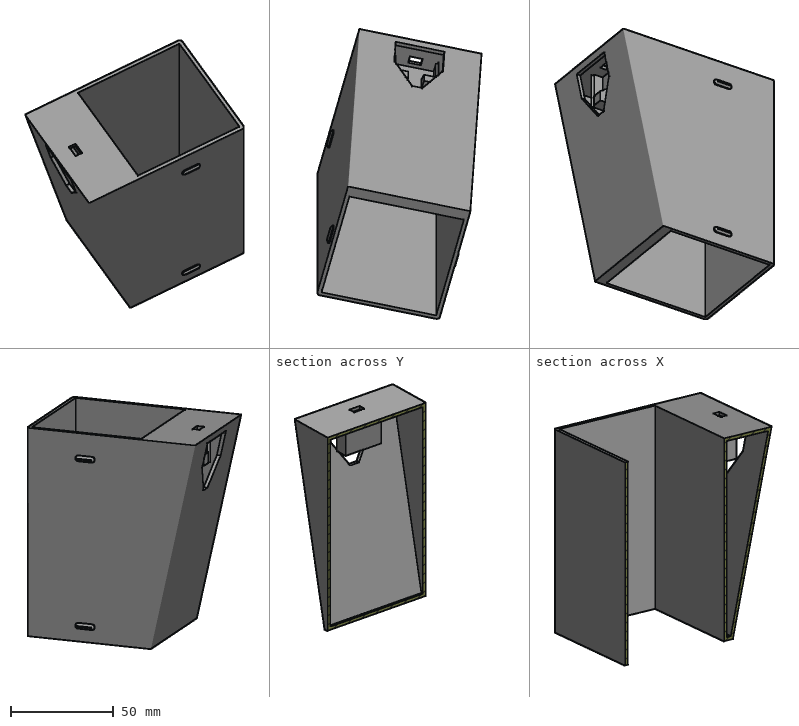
import cadquery as cq
import math

height = 105.0
overall_width = 64.2
top_depth = 88.0
bottom_depth = 64.8
nub_height = 1.5
width = overall_width - 2 * nub_height
wall = 2.0
back_corner_radius = 1.6
front_edge_radius = 0.4

nub_length = 10.0
nub_width = 2.9
nub_bevel_height = 0.9
nub_bevel_inset = 1.3
nub_positions = (8.1, 92.4)

mouth_half_width = 12.2
mouth_top = height - 3.7
shoulder_z = 88.6
tip_half_width = 2.6
tip_z = 74.5

housing_half_width = 11.1
housing_bottom = 84.9
housing_front = 8.6
cheek_thickness = 1.2
cheek_edge_radius = 1.0
housing_inner_back = 14.4

block_front = 9.1
block_gap = 7.9
ramp_low_z = 90.3
ramp_high_z = 93.9

slot_width = 6.3
slot_length = 3.7

back_y = top_depth
bottom_front_y = top_depth - bottom_depth
bore_width = width - 2 * wall
bore_centre_y = back_y - width / 2
bore_front_y = bore_centre_y - bore_width / 2
ceiling_z = height - wall


def extrude_along_x(points, x_start, x_end):
    """Extrude a closed (y, z) outline between two x positions."""
    return cq.Workplane("YZ", origin=(x_start, 0, 0)).polyline(points).close().extrude(x_end - x_start)


def make_body():
    outline = [(0, height), (back_y, height), (back_y, 0), (bottom_front_y, 0)]
    body = extrude_along_x(outline, -width / 2, width / 2)
    body = body.edges("|Z").edges(">Y").fillet(back_corner_radius)
    body = body.faces("<Y").edges("not |X").fillet(front_edge_radius)
    bore = cq.Workplane("XY").center(0, bore_centre_y).rect(bore_width, bore_width).extrude(height)
    return body.cut(bore)


def front_y(z):
    """Y position of the sloping front face at height z."""
    return bottom_front_y * (height - z) / height


def make_wedge_cavity():
    """Closed space between the sloping front wall and the front wall of the bore."""
    cavity_back = bore_front_y - wall
    outline = [
        (front_y(ceiling_z) + wall, ceiling_z),
        (cavity_back, ceiling_z),
        (cavity_back, wall),
        (front_y(wall) + wall, wall),
    ]
    return extrude_along_x(outline, -bore_width / 2, bore_width / 2)


def make_mouth():
    right = [(mouth_half_width, mouth_top), (mouth_half_width, shoulder_z), (tip_half_width, tip_z)]
    left = [(-x, z) for x, z in reversed(right)]
    return cq.Workplane("XZ").polyline(right + left).close().extrude(-(front_y(tip_z) + wall))


def make_housing():
    """Three-sided housing, open in front and below, with two ramped blocks."""
    inner_half_width = housing_half_width - cheek_thickness
    housing_back = housing_inner_back + cheek_thickness
    right = [(housing_half_width, housing_front), (housing_half_width, housing_back)]
    left = [(-x, y) for x, y in reversed(right)]
    housing_top = height - wall / 2
    curve_end = housing_front + cheek_edge_radius
    curve_x = inner_half_width + cheek_edge_radius
    housing = (
        cq.Workplane("XY", origin=(0, 0, housing_bottom))
        .polyline(right + left)
        .lineTo(-curve_x, housing_front)
        .radiusArc((-inner_half_width, curve_end), cheek_edge_radius)
        .lineTo(-inner_half_width, housing_inner_back)
        .lineTo(inner_half_width, housing_inner_back)
        .lineTo(inner_half_width, curve_end)
        .radiusArc((curve_x, housing_front), cheek_edge_radius)
        .close()
        .extrude(housing_top - housing_bottom)
    )
    block = [
        (block_front, housing_bottom),
        (block_front, ramp_low_z),
        (housing_inner_back, ramp_high_z),
        (housing_inner_back, housing_bottom),
    ]
    housing = housing.union(extrude_along_x(block, block_gap / 2, inner_half_width))
    return housing.union(extrude_along_x(block, -inner_half_width, -block_gap / 2))


def make_slot():
    slot = cq.Workplane("XY").box(slot_width, slot_length, wall, centered=(True, False, False))
    return slot.translate((0, housing_front, ceiling_z))


def make_nub(side, z):
    """Round-ended bar along Y with a bevelled top; side is +1 or -1 along X."""
    face = cq.Plane(origin=(side * width / 2, bore_centre_y, z), xDir=(0, 1, 0), normal=(side, 0, 0))
    base_height = nub_height - nub_bevel_height
    bevel_angle = math.degrees(math.atan2(nub_bevel_inset, nub_bevel_height))
    base = cq.Workplane(face).slot2D(nub_length, nub_width).extrude(base_height)
    bevel = (
        cq.Workplane(face)
        .workplane(offset=base_height)
        .slot2D(nub_length, nub_width)
        .extrude(nub_bevel_height, taper=bevel_angle)
    )
    return base.union(bevel)


result = make_body().cut(make_wedge_cavity()).cut(make_mouth())
result = result.union(make_housing()).cut(make_slot())
for side in (-1, 1):
    for nub_z in nub_positions:
        result = result.union(make_nub(side, nub_z))